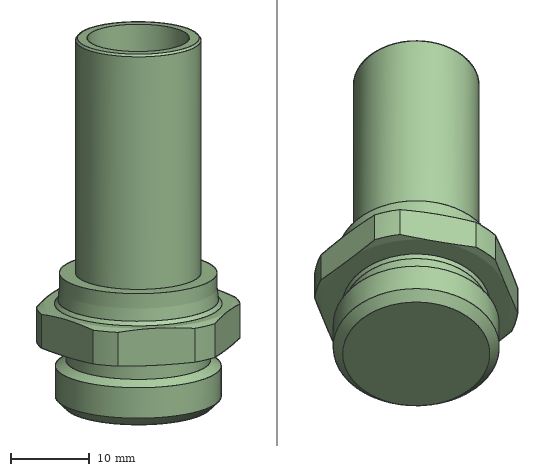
import cadquery as cq
import math

TOTAL_HEIGHT = 48.5
TUBE_RADIUS = 8.0
BORE_RADIUS = 6.5
TUBE_CHAMFER_WIDTH = 0.25
TUBE_CHAMFER_HEIGHT = 0.3

SPIGOT_RADIUS = 10.55
SPIGOT_CHAMFER = 1.2
SPIGOT_TOP_Z = 5.25
GROOVE_RADIUS = 9.2
GROOVE_BOTTOM_Z = 5.95
GROOVE_TOP_Z = 7.95
GROOVE_FLARE = 0.25

HEX_ACROSS_FLATS = 24.0
HEX_CORNER_DIAMETER = 26.0
HEX_BOTTOM_Z = 8.55
HEX_TOP_Z = 13.45
HEX_TOP_CHAMFER_HEIGHT = 0.3
HEX_BOTTOM_CHAMFER_HEIGHT = 0.15

COLLAR_RADIUS = 10.05
COLLAR_TOP_Z = 17.5
TAPER_TOP_Z = 15.5
TAPER_BOTTOM_Z = 13.9
TAPER_BOTTOM_RADIUS = 10.25
COLLAR_FOOT_RADIUS = 10.65


def revolve_outline(points):
    """Turn a solid about Z from (radius, height) points."""
    outline = cq.Workplane("XZ").polyline(points).close()
    return outline.revolve(360, (0, 0, 0), (0, 1, 0))


def make_turned_body():
    tube_tip_radius = TUBE_RADIUS - TUBE_CHAMFER_WIDTH
    return revolve_outline([
        (0, 0),
        (SPIGOT_RADIUS - SPIGOT_CHAMFER, 0),
        (SPIGOT_RADIUS, SPIGOT_CHAMFER),
        (SPIGOT_RADIUS, SPIGOT_TOP_Z),
        (GROOVE_RADIUS, GROOVE_BOTTOM_Z),
        (GROOVE_RADIUS, GROOVE_TOP_Z),
        (GROOVE_RADIUS + GROOVE_FLARE, HEX_BOTTOM_Z),
        (COLLAR_FOOT_RADIUS, HEX_BOTTOM_Z),
        (COLLAR_FOOT_RADIUS, HEX_TOP_Z),
        (TAPER_BOTTOM_RADIUS, TAPER_BOTTOM_Z),
        (COLLAR_RADIUS, TAPER_TOP_Z),
        (COLLAR_RADIUS, COLLAR_TOP_Z),
        (TUBE_RADIUS, COLLAR_TOP_Z),
        (TUBE_RADIUS, TOTAL_HEIGHT - TUBE_CHAMFER_HEIGHT),
        (tube_tip_radius, TOTAL_HEIGHT),
        (0, TOTAL_HEIGHT),
    ])


def make_hexagon():
    """Hexagonal prism, corners along X, trimmed by a chamfered cylinder."""
    prism = (
        cq.Workplane("XY")
        .workplane(offset=HEX_BOTTOM_Z)
        .polygon(6, HEX_ACROSS_FLATS / math.cos(math.pi / 6))
        .extrude(HEX_TOP_Z - HEX_BOTTOM_Z)
    )
    corner_radius = HEX_CORNER_DIAMETER / 2
    face_radius = HEX_ACROSS_FLATS / 2
    envelope = revolve_outline([
        (0, HEX_BOTTOM_Z),
        (face_radius, HEX_BOTTOM_Z),
        (corner_radius, HEX_BOTTOM_Z + HEX_BOTTOM_CHAMFER_HEIGHT),
        (corner_radius, HEX_TOP_Z - HEX_TOP_CHAMFER_HEIGHT),
        (face_radius, HEX_TOP_Z),
        (0, HEX_TOP_Z),
    ])
    return prism.intersect(envelope)


def make_bore():
    """Blind bore running from the tube mouth to the tube root."""
    bore_depth = TOTAL_HEIGHT - COLLAR_TOP_Z
    return cq.Workplane("XY").workplane(offset=COLLAR_TOP_Z).circle(BORE_RADIUS).extrude(bore_depth)


result = make_turned_body().union(make_hexagon()).cut(make_bore())